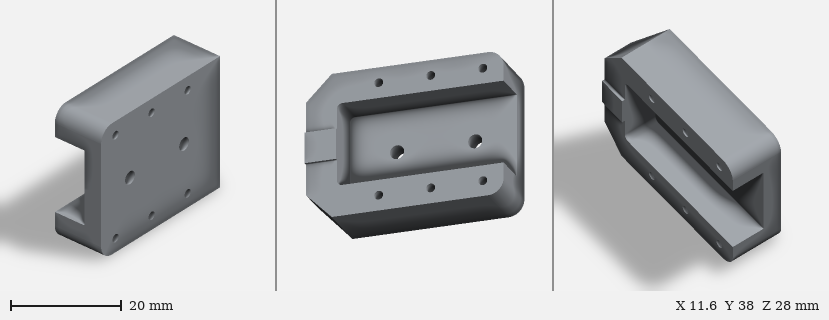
import cadquery as cq

DEPTH = 11.0
LENGTH = 38.0
HEIGHT = 28.0
CORNER_RADIUS = 3.0
NOSE_CHAMFER = 5.0

POCKET_DEPTH = 7.0
POCKET_HEIGHT = 16.0
POCKET_CORNER_RADIUS = 1.0
POCKET_FLOOR_RADIUS = 0.1
END_WALL = 6.0

TAB_THICKNESS = 0.6
TAB_HEIGHT = 6.0
TAB_ROOT_RADIUS = 0.1

RIM_HOLE_DIAMETER = 1.7
RIM_HOLE_START = 4.0
RIM_HOLE_PITCH = 10.0
RIM_HOLES_PER_SIDE = 3
FLOOR_HOLE_DIAMETER = 2.7
FLOOR_HOLE_START = 8.0
FLOOR_HOLE_PITCH = 15.0
FLOOR_HOLE_COUNT = 2

OPEN_END = -LENGTH / 2
NOSE_END = LENGTH / 2
POCKET_END = NOSE_END - END_WALL
RIM_HOLE_Z = (HEIGHT + POCKET_HEIGHT) / 4


def box(x_range, y_range, z_range):
    """Box spanning the given (low, high) ranges."""
    size = [high - low for low, high in (x_range, y_range, z_range)]
    corner = (x_range[0], y_range[0], z_range[0])
    return cq.Workplane("XY").box(*size, centered=False).translate(corner)


def make_body():
    """Plate with a rounded open end and a nose chamfered on three sides."""
    body = box((0, DEPTH), (OPEN_END, NOSE_END), (-HEIGHT / 2, HEIGHT / 2))
    body = body.edges("|X and <Y").fillet(CORNER_RADIUS)
    body = body.edges("|X and >Y").chamfer(NOSE_CHAMFER)
    back_wedge = (
        cq.Workplane("XY")
        .workplane(offset=-HEIGHT / 2)
        .moveTo(DEPTH, NOSE_END)
        .lineTo(DEPTH - NOSE_CHAMFER, NOSE_END)
        .lineTo(DEPTH, NOSE_END - NOSE_CHAMFER)
        .close()
        .extrude(HEIGHT)
    )
    return body.cut(back_wedge)


def make_pocket():
    """Pocket volume with rounded corners at its closed end and a filleted floor."""
    half_height = POCKET_HEIGHT / 2
    pocket = box((0, POCKET_DEPTH), (OPEN_END, POCKET_END), (-half_height, half_height))
    pocket = pocket.edges("|X and >Y").fillet(POCKET_CORNER_RADIUS)
    return pocket.faces(">X").edges("not <Y").fillet(POCKET_FLOOR_RADIUS)


def make_tab():
    """Tab across the end wall, filleted into the front face along its top and bottom."""
    half_height = TAB_HEIGHT / 2
    root = half_height + TAB_ROOT_RADIUS
    return (
        cq.Workplane("XZ", origin=(0, NOSE_END, 0))
        .moveTo(-TAB_THICKNESS, -half_height)
        .lineTo(-TAB_ROOT_RADIUS, -half_height)
        .radiusArc((0, -root), TAB_ROOT_RADIUS)
        .lineTo(0, root)
        .radiusArc((-TAB_ROOT_RADIUS, half_height), TAB_ROOT_RADIUS)
        .lineTo(-TAB_THICKNESS, half_height)
        .close()
        .extrude(END_WALL)
    )


def make_hole_row(diameter, start, pitch, count, z):
    """Row of equally spaced drills running through the body along X."""
    centres = [(OPEN_END + start + i * pitch, z) for i in range(count)]
    return cq.Workplane("YZ").pushPoints(centres).circle(diameter / 2).extrude(DEPTH)


result = make_body().cut(make_pocket()).union(make_tab())
for rim_z in (-RIM_HOLE_Z, RIM_HOLE_Z):
    result = result.cut(
        make_hole_row(RIM_HOLE_DIAMETER, RIM_HOLE_START, RIM_HOLE_PITCH, RIM_HOLES_PER_SIDE, rim_z)
    )
result = result.cut(
    make_hole_row(FLOOR_HOLE_DIAMETER, FLOOR_HOLE_START, FLOOR_HOLE_PITCH, FLOOR_HOLE_COUNT, 0)
)